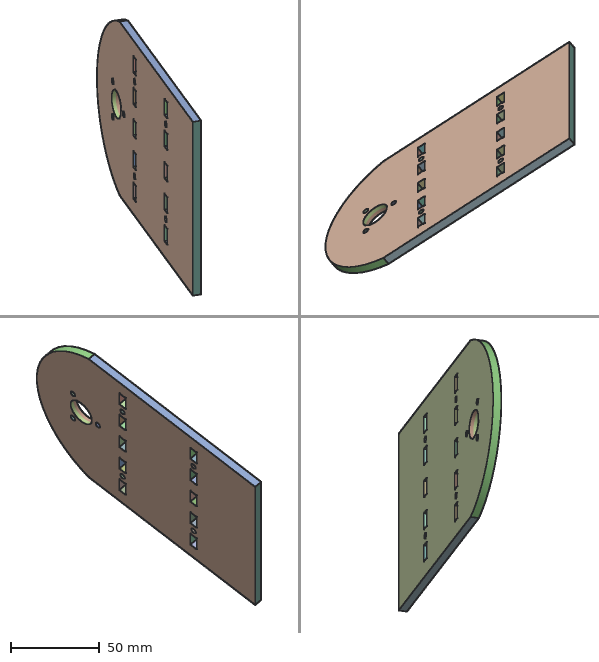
import cadquery as cq

length = 171.0
height = 110.0
thickness = 5.0
arc_start_x = 40.7

bore_x = 34.9
bore_diameter = 16.5
screw_circle_radius = 13.0
screw_diameter = 3.5
screw_count = 3

column_positions = (67.2, 122.7)
slot_width = 5.0
slot_height = 10.0
slot_pitch = 20.0
slots_per_column = 5
fixing_hole_offset = 1.5 * slot_pitch


def make_plate():
    half_height = height / 2
    return (
        cq.Workplane("XZ")
        .moveTo(arc_start_x, -half_height)
        .lineTo(length, -half_height)
        .lineTo(length, half_height)
        .lineTo(arc_start_x, half_height)
        .threePointArc((0, 0), (arc_start_x, -half_height))
        .close()
        .extrude(thickness / 2, both=True)
    )


def cut_shaft_mount(plate):
    mount = cq.Workplane("XZ").center(bore_x, 0)
    bore = mount.circle(bore_diameter / 2).extrude(thickness, both=True)
    screws = (
        mount.polarArray(screw_circle_radius, 0, 360, screw_count)
        .circle(screw_diameter / 2)
        .extrude(thickness, both=True)
    )
    return plate.cut(bore).cut(screws)


def cut_column(plate, column_x):
    column = cq.Workplane("XZ").center(column_x, 0)
    slots = (
        column.rarray(slot_pitch, slot_pitch, 1, slots_per_column)
        .rect(slot_width, slot_height)
        .extrude(thickness, both=True)
    )
    fixing_holes = (
        column.pushPoints([(0, -fixing_hole_offset), (0, fixing_hole_offset)])
        .circle(screw_diameter / 2)
        .extrude(thickness, both=True)
    )
    return plate.cut(slots).cut(fixing_holes)


result = cut_shaft_mount(make_plate())
for column_x in column_positions:
    result = cut_column(result, column_x)